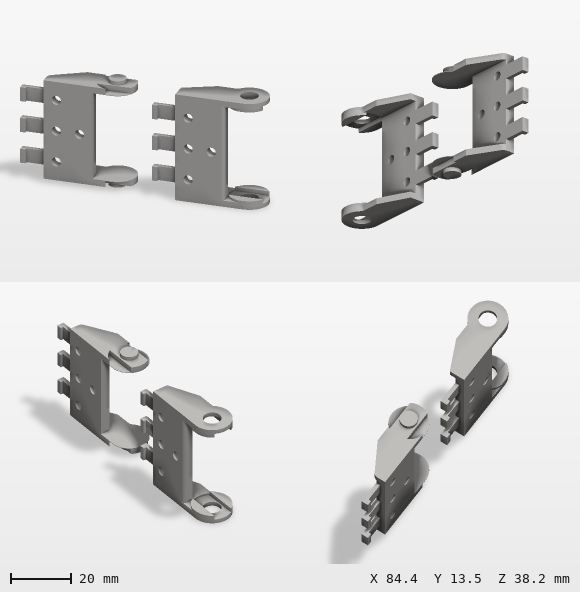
import cadquery as cq
import math


overall_length = 84.4
hinge_offset = 23.5
plate_thickness = 3.55
row_pitch = 11.1
hole_diameter = 3.2
hole_inset = 4.5
hole_column_gap = 8.0

prong_length = 8.4
prong_height = 5.0
prong_front = 2.0
hook_front = 1.0
hook_width = 1.85

ear_radius = 6.75
shoulder_height = 11.0
neck_radius = 1.35
swing_radius = 7.0
key_half_width = 3.5
slot_half_width = 3.4

pin_plate_x = prong_length
pin_plate_width = 17.05
pin_half_height = 17.65
pin_ear_thickness = 2.3
pin_diameter = 6.0
pin_end = 19.1
pin_slope_start = 4.3
pin_slope_length = 11.6
pin_corner_radius = 2.1
wing_thickness = 0.2

socket_plate_x = overall_length - ear_radius - hinge_offset
socket_plate_width = 17.05
socket_half_height = 19.0
socket_lift = 0.1
socket_ear_thickness = 2.2
socket_diameter = 6.2
socket_slope_start = 5.7
socket_slope_length = 11.2
socket_edge_radius = 1.2
slot_floor = 1.5
pad_thickness = 3.0


def box(x_range, y_range, z_range):
    """Box spanning the given ranges along X, Y and Z."""
    spans = [x_range, y_range, z_range]
    sizes = [high - low for low, high in spans]
    low_corner = [low for low, high in spans]
    return cq.Workplane("XY").box(*sizes, centered=False).translate(tuple(low_corner))


def disc(center_x, radius, z_range):
    """Cylinder on the hinge axis of the bracket whose axis lies at center_x."""
    low, high = z_range
    return cq.Workplane("XY", origin=(center_x, ear_radius, low)).circle(radius).extrude(high - low)


def both_ends(upper):
    """The shape at the upper ear together with its mirror image at the lower ear."""
    return upper.union(upper.mirror("XY"))


def corner_at(x, y, z_range):
    """Selector for the Z-parallel edge that runs through (x, y)."""
    return cq.selectors.NearestToPointSelector((x, y, sum(z_range) / 2))


def ear_blank(plate_x, slope_start, slope_length, z_range):
    """Plain ear: sloped back edge, flat shoulder and round hinge end."""
    hinge_x = plate_x + hinge_offset
    neck_x = hinge_x - math.sqrt(ear_radius**2 - (shoulder_height - ear_radius) ** 2)
    low, high = z_range
    outline = [
        (plate_x, 0),
        (hinge_x, 0),
        (hinge_x, ear_radius),
        (neck_x, shoulder_height),
        (plate_x + slope_length, shoulder_height),
        (plate_x, slope_start),
    ]
    arm = cq.Workplane("XY", origin=(0, 0, low)).polyline(outline).close().extrude(high - low)
    ear = arm.union(disc(hinge_x, ear_radius, z_range))
    return ear.edges("|Z").edges(corner_at(neck_x, shoulder_height, z_range)).fillet(neck_radius)


def center_strip(hinge_x, half_width, z_range):
    """Strip along X through the hinge axis, as long as the swing disc."""
    x_range = (hinge_x - swing_radius, hinge_x + swing_radius)
    return box(x_range, (ear_radius - half_width, ear_radius + half_width), z_range)


def side_regions(hinge_x, half_width, z_range):
    """Swing disc on both sides of the center strip."""
    return disc(hinge_x, swing_radius, z_range).cut(center_strip(hinge_x, half_width, z_range))


def plate(plate_x, width, half_height):
    """Back plate that joins the two ears."""
    return box((plate_x, plate_x + width), (0, plate_thickness), (-half_height, half_height))


def prongs(plate_x):
    """Three prongs on the plate edge, each with a hook toward the front."""
    tip_x = plate_x - prong_length
    group = cq.Workplane("XY")
    for row in (-1, 0, 1):
        middle = row * row_pitch
        z_range = (middle - prong_height / 2, middle + prong_height / 2)
        group = group.add(box((tip_x, plate_x), (prong_front, plate_thickness), z_range))
        group = group.add(box((tip_x, tip_x + hook_width), (hook_front, plate_thickness), z_range))
    return group.combine()


def plate_holes(plate_x):
    """Column of three holes plus a single one beside the middle hole."""
    column_x = plate_x + hole_inset
    centers = [(column_x, row * row_pitch) for row in (-1, 0, 1)]
    centers.append((column_x + hole_column_gap, 0))
    holes = cq.Workplane("XZ").pushPoints(centers).circle(hole_diameter / 2)
    return holes.extrude(-plate_thickness)


def make_pin_bracket():
    """Bracket whose ears carry an outward pin on a raised key."""
    hinge_x = pin_plate_x + hinge_offset
    inner_z = pin_half_height - pin_ear_thickness
    full_range = (-pin_half_height, pin_half_height)

    column = ear_blank(pin_plate_x, pin_slope_start, pin_slope_length, full_range)
    slope_corner = corner_at(pin_plate_x, pin_slope_start, full_range)
    column = column.edges("|Z").edges(slope_corner).fillet(pin_corner_radius)

    ear_end = hinge_x + ear_radius
    ear = column.intersect(box((pin_plate_x, ear_end), (0, 2 * ear_radius), (inner_z, pin_half_height)))
    above_wings = (inner_z + wing_thickness, pin_half_height)
    ear = ear.cut(side_regions(hinge_x, key_half_width, above_wings))
    ear = ear.union(disc(hinge_x, pin_diameter / 2, (inner_z, pin_end)))

    web = plate(pin_plate_x, pin_plate_width, pin_half_height).intersect(column)
    bracket = web.union(both_ends(ear)).union(prongs(pin_plate_x))
    return bracket.cut(plate_holes(pin_plate_x))


def make_socket_bracket():
    """Bracket whose ears have a bore and an inner slot between two pads."""
    hinge_x = socket_plate_x + hinge_offset
    outer_z = socket_half_height
    ear_range = (outer_z - socket_ear_thickness, outer_z)
    pad_range = (outer_z - pad_thickness, outer_z)
    slot_range = (outer_z - pad_thickness, outer_z - slot_floor)

    ear = ear_blank(socket_plate_x, socket_slope_start, socket_slope_length, ear_range)
    thick_ear = ear_blank(socket_plate_x, socket_slope_start, socket_slope_length, pad_range)
    ear = ear.union(thick_ear.intersect(side_regions(hinge_x, slot_half_width, pad_range)))
    swing_disc = disc(hinge_x, swing_radius, slot_range)
    ear = ear.cut(swing_disc.intersect(center_strip(hinge_x, slot_half_width, slot_range)))
    ear = ear.cut(disc(hinge_x, socket_diameter / 2, pad_range))

    web = plate(socket_plate_x, socket_plate_width, outer_z)
    web = web.edges(">X and <Y").fillet(socket_edge_radius)
    bracket = web.union(both_ends(ear)).union(prongs(socket_plate_x))
    return bracket.cut(plate_holes(socket_plate_x)).translate((0, 0, socket_lift))


pin_bracket = make_pin_bracket()
socket_bracket = make_socket_bracket()

result = cq.Compound.makeCompound([pin_bracket.solids().val(), socket_bracket.solids().val()])